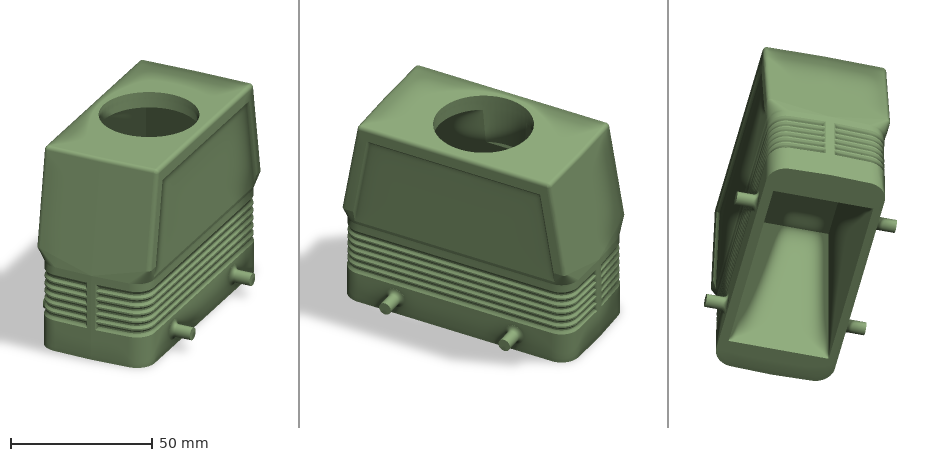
import cadquery as cq
import math

base_half_width = 21.5
base_half_length = 46.75
base_corner_radius = 7.1
base_end_tilt = 1.9
collar_height = 33.0
collar_inset = 0.3

total_height = 76.0
hood_height = 38.8
hood_half_width = 22.4
hood_edge_radius = 1.5
hood_end_tilt = 0.9
end_lean = 0.17

groove_count = 6
groove_pitch = 3.0
groove_middle = 20.9
groove_depth = 0.89
ridge_drop = 0.1
ridge_width = 0.61
band_end_margin = 0.3
groove_floor = 0.61
strip_half_width = 1.4

panel_depth = 0.9
panel_top = 70.7
panel_margin = 5.1

pin_radius = 2.3
pin_reach = 29.0
pin_height = 6.4
pin_spacing = 48.0
pin_fillet = 1.6

entry_radius = 17.9
entry_floor = 56.2
ceiling_height = 69.9
cavity_left = -18.3
cavity_right = 16.1
cavity_right_ceiling = 15.6
cavity_half_length = 35.2


def half_length_at(z):
    """Half length of the upper body, measured on its middle plane."""
    return base_half_length - collar_inset - end_lean * (z - collar_height)


def draft_inset(z):
    """Draft inset of the lower body at a height."""
    return collar_inset * z / collar_height


def corner_points(half_width, half_length, radius, tilt, z):
    """End middle, then start, middle and end of the corner arc, in the +X +Y quarter."""
    angle = math.radians(tilt)
    center_x = half_width - radius
    center_y = half_length - center_x * math.tan(angle) - radius / math.cos(angle)
    arc_angles = (math.pi / 2 - angle, (math.pi / 2 - angle) / 2, 0)
    arc = [
        cq.Vector(center_x + radius * math.cos(a), center_y + radius * math.sin(a), z)
        for a in arc_angles
    ]
    return [cq.Vector(0, half_length, z)] + arc


def outline(points):
    """Closed outline made of the quarter given by corner_points and its mirror images."""
    z = points[0].z
    edges = []
    for sign_x, sign_y in ((1, 1), (1, -1), (-1, -1), (-1, 1)):
        middle, start, bend, end = [cq.Vector(p.x * sign_x, p.y * sign_y, z) for p in points]
        quarter = [
            cq.Edge.makeLine(middle, start),
            cq.Edge.makeThreePointArc(start, bend, end),
        ]
        if sign_y > 0:
            quarter.append(cq.Edge.makeLine(end, cq.Vector(end.x, -end.y, z)))
        edges += quarter
    return cq.Wire.combine(edges)[0]


def lower_points(z, depth=0.0):
    """Quarter outline of the lower body, sunk by a depth below its surface."""
    inset = draft_inset(z) + depth
    return corner_points(
        base_half_width - inset,
        base_half_length - inset,
        base_corner_radius - inset,
        base_end_tilt,
        z,
    )


def upper_points(z):
    """Quarter outline of the upper body."""
    return corner_points(hood_half_width, half_length_at(z), hood_edge_radius, hood_end_tilt, z)


def ruled_loft(*point_sets):
    """Solid with straight-ruled sides through outlines stacked upwards."""
    return cq.Workplane(cq.Solid.makeLoft([outline(points) for points in point_sets], True))


def flat_face(*points):
    return cq.Face.makeFromWires(cq.Wire.makePolygon(points, close=True))


def transition():
    """Folded band between the rounded collar and the sharper upper body."""
    low = lower_points(collar_height)
    high = upper_points(hood_height)

    def axis_points(points):
        z = points[0].z
        return cq.Vector(0, 0, z), cq.Vector(points[3].x, 0, z)

    def level_face(points):
        middle, start, bend, end = points
        axis, side = axis_points(points)
        return cq.Face.makeFromWires(cq.Wire.assembleEdges([
            cq.Edge.makeLine(axis, middle),
            cq.Edge.makeLine(middle, start),
            cq.Edge.makeThreePointArc(start, bend, end),
            cq.Edge.makeLine(end, side),
            cq.Edge.makeLine(side, axis),
        ]))

    low_axis, low_side = axis_points(low)
    high_axis, high_side = axis_points(high)
    faces = [
        level_face(low),
        level_face(high),
        flat_face(low[0], high[0], high[1]),
        flat_face(low[0], low[1], high[1]),
        cq.Face.makeRuledSurface(
            cq.Edge.makeThreePointArc(*low[1:]), cq.Edge.makeThreePointArc(*high[1:])
        ),
        flat_face(low[3], low_side, high_side, high[3]),
        flat_face(low_axis, low[0], high[0], high_axis),
        flat_face(low_axis, low_side, high_side, high_axis),
    ]
    quarter = cq.Workplane(cq.Solid.makeSolid(cq.Shell.makeShell(faces)))
    half = quarter.union(quarter.mirror("YZ"))
    return half.union(half.mirror("XZ"))


def hood_outline(z):
    """Sharp six-sided outline of the upper body at a height."""
    middle = half_length_at(z)
    side = middle - hood_half_width * math.tan(math.radians(hood_end_tilt))
    return cq.Wire.makePolygon(
        [
            cq.Vector(hood_half_width, side, z),
            cq.Vector(hood_half_width, -side, z),
            cq.Vector(0, -middle, z),
            cq.Vector(-hood_half_width, -side, z),
            cq.Vector(-hood_half_width, side, z),
            cq.Vector(0, middle, z),
        ],
        close=True,
    )


def rounded_hood():
    """Upper body with leaning ends, its corners and top edges rounded alike."""
    sections = [hood_outline(hood_height), hood_outline(total_height)]
    hood = cq.Workplane(cq.Solid.makeLoft(sections, True))
    corner_edges = hood.faces("<X or >X").edges("not |Y")
    return corner_edges.add(hood.faces(">Z").edges()).fillet(hood_edge_radius)


def groove_cutter():
    """Ring around the body whose inside follows the grooves and the ridges between them."""
    floor_half = groove_floor / 2
    mouth_half = (groove_pitch - ridge_width) / 2
    first_center = groove_middle - (groove_count - 1) / 2 * groove_pitch
    last_center = first_center + (groove_count - 1) * groove_pitch
    band_bottom = first_center - mouth_half - band_end_margin
    band_top = last_center + mouth_half + band_end_margin

    profile = [(band_bottom, 0)]
    for index in range(groove_count):
        center = first_center + index * groove_pitch
        if index > 0:
            profile.append((center - mouth_half, ridge_drop))
        profile.append((center - floor_half, groove_depth))
        profile.append((center + floor_half, groove_depth))
        if index < groove_count - 1:
            profile.append((center + mouth_half, ridge_drop))
    profile.append((band_top, 0))

    core = ruled_loft(*[lower_points(z, depth) for z, depth in profile])
    slab = cq.Workplane(origin=(0, 0, band_bottom))
    slab = slab.rect(3 * base_half_width, 3 * base_half_length).extrude(band_top - band_bottom)
    return slab.cut(core)


def end_strip():
    """Upright strip at the +Y end that the grooves leave standing, with 45 degree flanks."""
    inner_y = base_half_length - 4 * groove_depth
    inner_half_width = strip_half_width + base_half_length - inner_y
    return (
        cq.Workplane()
        .moveTo(-inner_half_width, inner_y)
        .lineTo(inner_half_width, inner_y)
        .lineTo(strip_half_width, base_half_length)
        .lineTo(-strip_half_width, base_half_length)
        .close()
        .extrude(collar_height)
    )


def panel_recess():
    """Sunken panel on the +X side with 45 degree edges, running out at the transition."""
    bottom = collar_height - 2 * panel_depth
    top_half = half_length_at(panel_top) - panel_margin
    bottom_half = half_length_at(bottom) - panel_margin
    return (
        cq.Workplane("YZ", origin=(hood_half_width, 0, 0))
        .moveTo(-bottom_half, bottom)
        .lineTo(bottom_half, bottom)
        .lineTo(top_half, panel_top)
        .lineTo(-top_half, panel_top)
        .close()
        .extrude(-panel_depth, taper=45)
    )


def locking_pin():
    """Pin along +X with a concave fillet at its foot."""
    root_x = base_half_width - draft_inset(pin_height)
    foot_x = root_x - pin_fillet
    foot_radius = pin_radius + pin_fillet
    bend = pin_fillet * math.sqrt(0.5)
    return (
        cq.Workplane()
        .moveTo(foot_x, 0)
        .lineTo(foot_x, foot_radius)
        .lineTo(root_x, foot_radius)
        .threePointArc(
            (root_x + pin_fillet - bend, foot_radius - bend),
            (root_x + pin_fillet, pin_radius),
        )
        .lineTo(pin_reach, pin_radius)
        .lineTo(pin_reach, 0)
        .close()
        .revolve(360, (0, 0, 0), (1, 0, 0))
        .translate((0, 0, pin_height))
    )


lower_body = ruled_loft(lower_points(0), lower_points(collar_height))
upper_body = rounded_hood()

strip = end_strip()
lower_body = lower_body.cut(groove_cutter().cut(strip).cut(strip.mirror("XZ")))

body = lower_body.union(transition()).union(upper_body)

recess = panel_recess()
body = body.cut(recess).cut(recess.mirror("YZ"))

for pin_y in (-pin_spacing / 2, pin_spacing / 2):
    pin = locking_pin().translate((0, pin_y, 0))
    body = body.union(pin).union(pin.mirror("YZ"))

right_lean = (cavity_right - cavity_right_ceiling) / (ceiling_height - entry_floor)
cavity_right_bottom = cavity_right + right_lean * entry_floor
cavity = (
    cq.Workplane("XZ")
    .moveTo(cavity_left, 0)
    .lineTo(cavity_right_bottom, 0)
    .lineTo(cavity_right_ceiling, ceiling_height)
    .lineTo(cavity_left, ceiling_height)
    .close()
    .extrude(cavity_half_length, both=True)
)
entry = (
    cq.Workplane(origin=(0, 0, entry_floor)).circle(entry_radius).extrude(total_height - entry_floor)
)

result = body.cut(cavity).cut(entry)